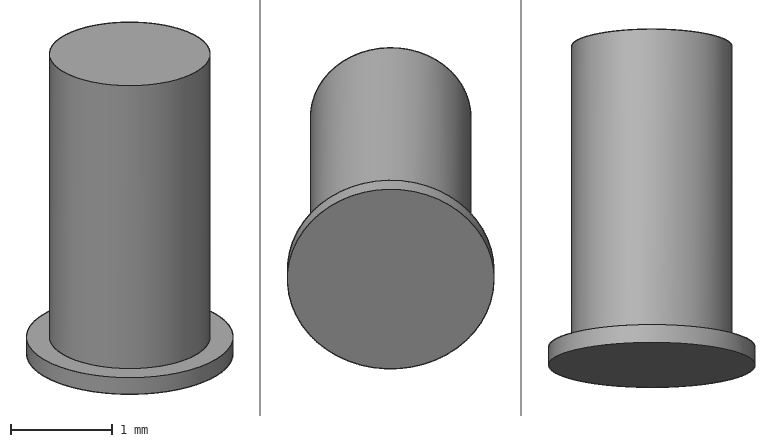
import cadquery as cq

total_height = 3.2
flange_diameter = 2.03
flange_thickness = 0.18
shank_diameter = 1.578

shank_length = total_height - flange_thickness

flange = cq.Workplane("XY").circle(flange_diameter / 2).extrude(flange_thickness)

result = flange.faces(">Z").workplane().circle(shank_diameter / 2).extrude(shank_length)